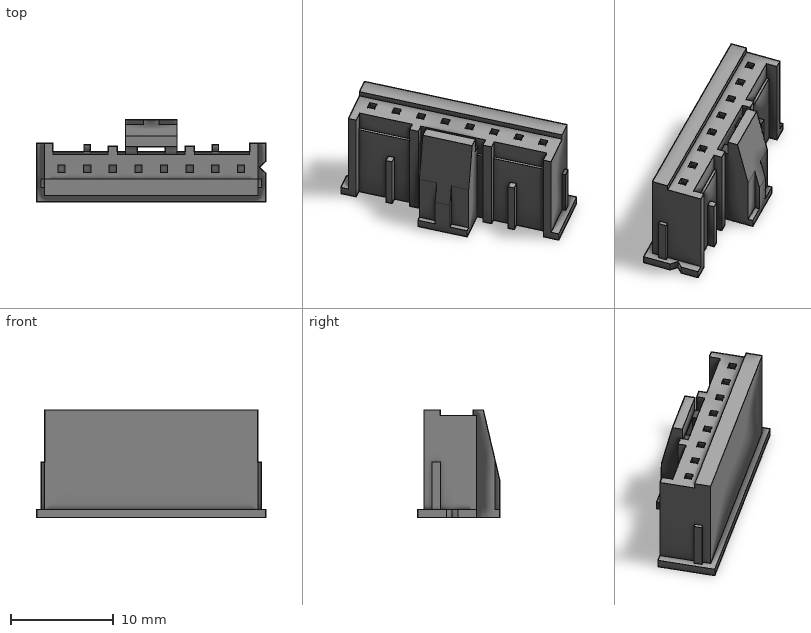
import cadquery as cq

flange_length = 22.3
flange_height = 0.8
housing_height = 10.5
deck_height = 9.97
body_length = 20.75
body_front = 0.6
body_back = 5.7

ridge_back = 2.2

post_inner_x = 9.57
recess_floor_upper = 4.62
recess_floor_lower = 4.88
ledge_height = 8.03

socket_count = 8
socket_pitch = 2.5
socket_size = 0.71
socket_depth = 0.62
socket_row_y = 3.21

rib_top = 5.42
end_rib_front = 1.4
end_rib_back = ridge_back
end_rib_projection = 0.35
rear_rib_width = 0.62
rear_rib_back = 5.58
rear_rib_x = 2.5 * socket_pitch

guard_width = 0.9
guard_back = 5.42
guard_x = 1.5 * socket_pitch

latch_width = 5.05
latch_front_upper = 5.4
latch_front_lower = 5.33
latch_back_top = 6.4
latch_back = 8.0
latch_ramp_start = 3.63
latch_leg_width = 1.15
latch_leg_top = 8.92
latch_rib_width = 1.52
latch_relief_floor = 7.52

notch_y = 3.37
notch_half_width = 0.58
notch_depth = 0.6


def block(x_min, x_max, y_min, y_max, z_min, z_max):
    """Axis-aligned box given by its limits."""
    size = (x_max - x_min, y_max - y_min, z_max - z_min)
    return cq.Workplane("XY").box(*size, centered=False).translate((x_min, y_min, z_min))


def centred_block(x_centre, width, y_min, y_max, z_min, z_max):
    """Axis-aligned box of a given width about x_centre."""
    return block(x_centre - width / 2, x_centre + width / 2, y_min, y_max, z_min, z_max)


def make_housing():
    """Flange, body and front ridge, with the rear recess cut out."""
    flange = centred_block(0, flange_length, 0, body_back, 0, flange_height)
    body = centred_block(0, body_length, body_front, body_back, 0, deck_height)
    ridge = centred_block(0, body_length, body_front, ridge_back, 0, housing_height)
    recess_width = 2 * post_inner_x
    lower_recess = centred_block(0, recess_width, recess_floor_lower, body_back, 0, ledge_height)
    upper_recess = centred_block(
        0, recess_width, recess_floor_upper, body_back, ledge_height, deck_height
    )
    return flange.union(body).union(ridge).cut(lower_recess).cut(upper_recess)


def make_end_ribs():
    """One bar running across the housing, showing as a rib at each end."""
    length = body_length + 2 * end_rib_projection
    return centred_block(0, length, end_rib_front, end_rib_back, 0, rib_top)


def make_rear_details(side):
    """Guide rib and guard block on one side of the latch."""
    rib = centred_block(
        side * rear_rib_x, rear_rib_width, recess_floor_upper, rear_rib_back, 0, rib_top
    )
    guard = centred_block(
        side * guard_x, guard_width, recess_floor_upper, guard_back, 0, deck_height
    )
    return rib.union(guard)


def make_latch():
    """Ramped latch with its legs and the two reliefs beside the centre rib."""
    profile = [
        (latch_front_lower, 0),
        (latch_back, 0),
        (latch_back, latch_ramp_start),
        (latch_back_top, housing_height),
        (latch_front_upper, housing_height),
        (latch_front_upper, latch_leg_top),
        (latch_front_lower, latch_leg_top),
    ]
    latch = cq.Workplane("YZ").polyline(profile).close().extrude(latch_width / 2, both=True)
    relief_width = (latch_width - latch_rib_width) / 2
    for side in (-1, 1):
        relief_x = side * (latch_rib_width + relief_width) / 2
        relief = centred_block(
            relief_x, relief_width, latch_relief_floor, latch_back, flange_height, housing_height
        )
        leg_x = side * (latch_width - latch_leg_width) / 2
        leg = centred_block(
            leg_x, latch_leg_width, recess_floor_upper, latch_front_lower, 0, latch_leg_top
        )
        latch = latch.cut(relief).union(leg)
    return latch


def make_sockets():
    """Blind square sockets sunk into the top deck."""
    row = cq.Workplane("XY", origin=(0, socket_row_y, deck_height))
    row = row.rarray(socket_pitch, 0.22, socket_count, 1)
    return row.rect(socket_size, socket_size).extrude(-socket_depth)


def make_notch():
    """V-shaped cutter through the flange edge."""
    edge_x = flange_length / 2
    corners = [
        (edge_x, notch_y - notch_half_width),
        (edge_x - notch_depth, notch_y),
        (edge_x, notch_y + notch_half_width),
    ]
    return cq.Workplane("XY").polyline(corners).close().extrude(flange_height)


result = make_housing().union(make_end_ribs()).union(make_latch())
for side in (-1, 1):
    result = result.union(make_rear_details(side))
result = result.cut(make_sockets()).cut(make_notch())